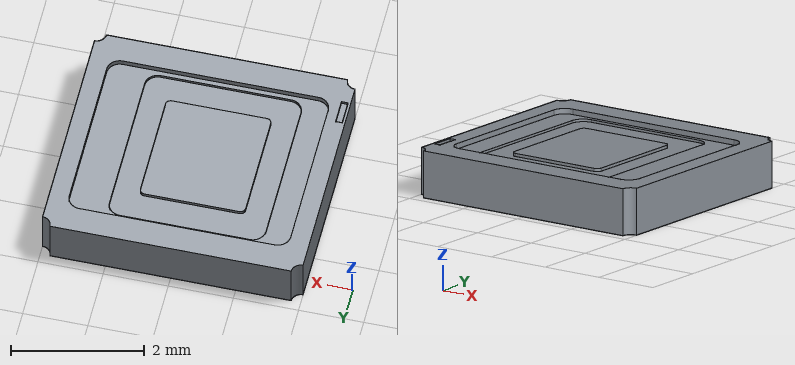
import cadquery as cq

body_length = 4.0
body_width = 3.7
body_height = 0.73
corner_notch_radius = 0.15

cavity_length = 3.4
cavity_width = 2.85
cavity_depth = 0.085

well_length = 2.4
well_width = 2.7
well_depth = 0.04
well_center_x = -0.1
pocket_corner_radius = 0.2

die_length = 1.615
die_width = 1.8
die_height = 0.05
die_corner_radius = 0.08
die_center_y = -0.02

mark_length = 0.1
mark_width = 0.385
mark_depth = 0.04
mark_side_gap = 0.045
mark_front_gap = 0.425


def rounded_block(length, width, height, radius, center_x, center_y, base_z):
    """Block with rounded vertical edges, standing on base_z."""
    return (
        cq.Workplane("XY", origin=(center_x, center_y, base_z))
        .rect(length, width)
        .extrude(height)
        .edges("|Z")
        .fillet(radius)
    )


cavity_floor_z = body_height - cavity_depth
well_floor_z = cavity_floor_z - well_depth

body = cq.Workplane("XY").rect(body_length, body_width).extrude(body_height)
notches = (
    cq.Workplane("XY")
    .rect(body_length, body_width, forConstruction=True)
    .vertices()
    .circle(corner_notch_radius)
    .extrude(body_height)
)

cavity = rounded_block(
    cavity_length, cavity_width, cavity_depth, pocket_corner_radius, 0, 0, cavity_floor_z
)
well = rounded_block(
    well_length, well_width, well_depth, pocket_corner_radius, well_center_x, 0, well_floor_z
)

die = rounded_block(
    die_length, die_width, die_height, die_corner_radius, well_center_x, die_center_y, well_floor_z
)

mark = cq.Workplane("XY").box(mark_length, mark_width, mark_depth, centered=False).translate(
    (
        -body_length / 2 + mark_side_gap,
        -body_width / 2 + mark_front_gap,
        body_height - mark_depth,
    )
)

result = body.cut(notches).cut(cavity).cut(well).union(die).cut(mark)